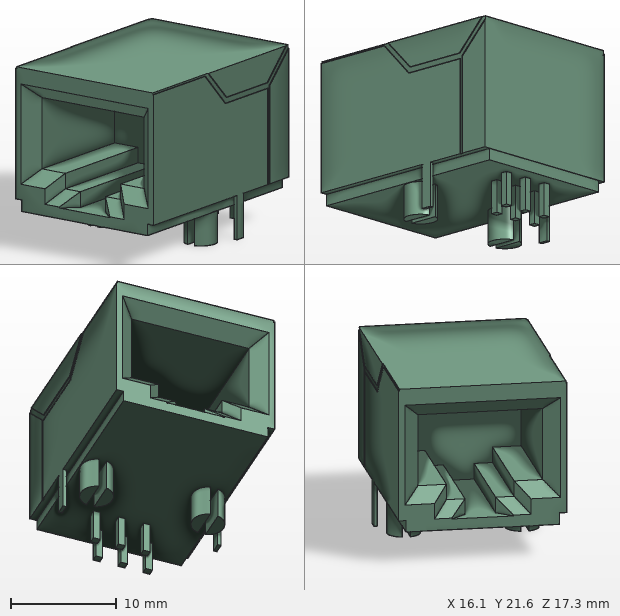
import cadquery as cq


WIDTH = 16.13
LENGTH = 21.6
HEIGHT = 17.27
FRONT_Y = -LENGTH / 2
BACK_Y = LENGTH / 2
SIDE_X = WIDTH / 2

SHELL_BOTTOM = 4.35
FOOT_BOTTOM = 3.22
FOOT_WIDTH = 14.72
FOOT_BACK_INSET = 0.06

CAVITY_DEPTH = 12.95
TAPER_LENGTH = 1.34
CAVITY_FLOOR = 4.27
MOUTH = dict(half_width=7.45, top=15.67, ledge_z=5.87, ledge_x=4.62, step_z=4.36, channel_x=2.95)
THROAT = dict(half_width=5.98, top=14.3, ledge_z=7.32, ledge_x=3.24, step_z=5.8, channel_x=1.47)

SEAM_DEPTH = 0.09
FLAP_TOP_BACK_Y = 10.43
FLAP_TOP_FRONT_Y = -2.0
FLAP_BOTTOM_BACK_Y = 7.43
FLAP_BOTTOM_FRONT_Y = 0.9
FLAP_BOTTOM_Z = 14.3
SIDE_PANEL_TOP_Z = 17.1
SIDE_PANEL_TOP_BACK_Y = -2.5
SIDE_PANEL_LOW_TOP_Z = 13.73
SIDE_PANEL_LOW_FRONT_Y = 0.73
SIDE_PANEL_BACK_Y = 7.51
BACK_FOLD_FRONT_Y = 7.75
BACK_FOLD_FRONT_Z = 13.93
BACK_FOLD_TOP_Z = 16.93

TAB_THICKNESS = 0.35
TAB_WIDTH = 1.05
TAB_Y = 3.07

PEG_DIAMETER = 3.2
PEG_X = 5.68
PEG_SLOT = 0.78

PIN_COUNT = 6
PIN_SIZE = 0.7
PIN_PITCH = 1.27
PIN_FRONT_ROW_Y = 6.35
PIN_ROW_SPACING = 2.53


def block(x_size, y_size, bottom, top, x=0.0, y=0.0):
    """Upright block centred on (x, y)."""
    return cq.Workplane("XY", origin=(x, y, bottom)).rect(x_size, y_size).extrude(top - bottom)


def make_body():
    shell = block(WIDTH, LENGTH, SHELL_BOTTOM, HEIGHT)
    foot_length = LENGTH - FOOT_BACK_INSET
    foot = block(FOOT_WIDTH, foot_length, FOOT_BOTTOM, SHELL_BOTTOM, y=-FOOT_BACK_INSET / 2)
    return shell.union(foot)


def cavity_outline(half_width, top, ledge_z, ledge_x, step_z, channel_x):
    """Opening mirrored about X = 0, with two steps down to the floor channel."""
    right = [
        (half_width, top),
        (half_width, ledge_z),
        (ledge_x, ledge_z),
        (ledge_x, step_z),
        (channel_x, step_z),
        (channel_x, CAVITY_FLOOR),
    ]
    left = [(-x, z) for x, z in reversed(right)]
    return right + left


def make_cavity():
    mouth = cavity_outline(**MOUTH)
    throat = cavity_outline(**THROAT)
    taper = (
        cq.Workplane("XZ", origin=(0, FRONT_Y, 0))
        .polyline(mouth)
        .close()
        .workplane(offset=-TAPER_LENGTH)
        .polyline(throat)
        .close()
        .loft(ruled=True)
    )
    passage = (
        cq.Workplane("XZ", origin=(0, FRONT_Y + TAPER_LENGTH, 0))
        .polyline(throat)
        .close()
        .extrude(-(CAVITY_DEPTH - TAPER_LENGTH))
    )
    return taper.union(passage)


def make_seams():
    """Shallow recess around the folded flap, the back fold and the top edge, on both sides."""
    outline = [
        (BACK_Y, HEIGHT),
        (FLAP_TOP_BACK_Y, HEIGHT),
        (FLAP_BOTTOM_BACK_Y, FLAP_BOTTOM_Z),
        (FLAP_BOTTOM_FRONT_Y, FLAP_BOTTOM_Z),
        (FLAP_TOP_FRONT_Y, HEIGHT),
        (FRONT_Y, HEIGHT),
        (FRONT_Y, SIDE_PANEL_TOP_Z),
        (SIDE_PANEL_TOP_BACK_Y, SIDE_PANEL_TOP_Z),
        (SIDE_PANEL_LOW_FRONT_Y, SIDE_PANEL_LOW_TOP_Z),
        (SIDE_PANEL_BACK_Y, SIDE_PANEL_LOW_TOP_Z),
        (SIDE_PANEL_BACK_Y, SHELL_BOTTOM),
        (BACK_FOLD_FRONT_Y, SHELL_BOTTOM),
        (BACK_FOLD_FRONT_Y, BACK_FOLD_FRONT_Z),
        (BACK_Y, BACK_FOLD_TOP_Z),
    ]
    seam_plane = cq.Workplane("YZ", origin=(SIDE_X - SEAM_DEPTH, 0, 0))
    seam = seam_plane.polyline(outline).close().extrude(SEAM_DEPTH)
    return seam.union(seam.mirror("YZ"))


def make_tab(side):
    x = side * (SIDE_X - TAB_THICKNESS / 2)
    return block(TAB_THICKNESS, TAB_WIDTH, 0, SHELL_BOTTOM, x, TAB_Y)


def make_peg(side):
    x = side * PEG_X
    peg = cq.Workplane("XY", origin=(x, 0, 0)).circle(PEG_DIAMETER / 2).extrude(FOOT_BOTTOM)
    return peg.cut(block(PEG_SLOT, PEG_DIAMETER, 0, FOOT_BOTTOM, x))


def make_pin(index):
    x = (index - (PIN_COUNT - 1) / 2) * PIN_PITCH
    y = PIN_FRONT_ROW_Y + (index % 2) * PIN_ROW_SPACING
    return block(PIN_SIZE, PIN_SIZE, 0, FOOT_BOTTOM, x, y)


result = make_body().cut(make_cavity()).cut(make_seams())
for side in (-1, 1):
    result = result.union(make_tab(side)).union(make_peg(side))
for index in range(PIN_COUNT):
    result = result.union(make_pin(index))